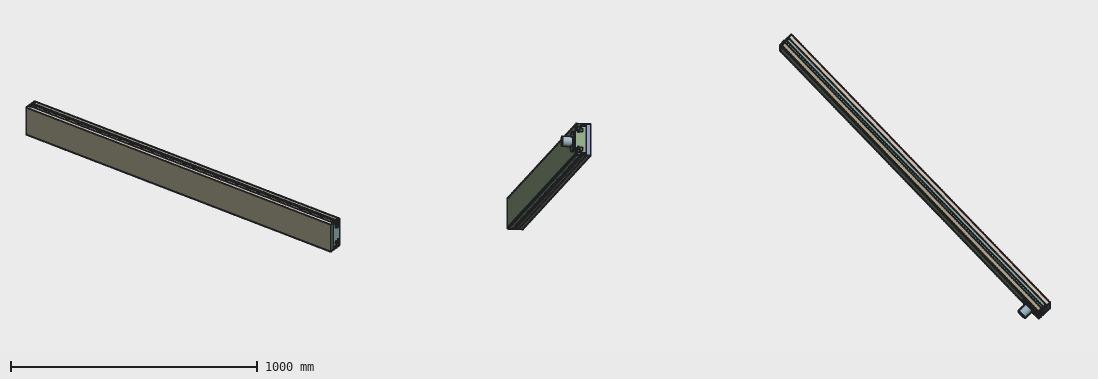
import cadquery as cq

total_length = 1528.0
total_depth = 110.0
height = 130.0
pin_length = 5.0
bar_length = total_length - pin_length
half_height = height / 2

front_depth = 18.0

back_y = 64.0
back_chamfer = 5.0
groove_front_y = 32.0
groove_back_y = 41.0
groove_depth = 5.0

cap_thickness = 6.0
relief_depth = 2.0
relief_margin = 5.0
relief_leg_width = 5.0
slot_width = 8.0
slot_run = 9.0
top_slot_y = groove_front_y
back_slot_z = half_height - 20.0

pin_diameter = 14.0
pin_y = 40.0
pin_z = half_height - 26.0

connector_x = 52.0
flange_diameter = 83.0
flange_thickness = 5.0
plug_diameter = 41.0


def extrude_outline(upper_points, start_x, length):
    """Extrude along X an outline given by its upper half, mirrored about Z = 0."""
    lower_points = [(y, -z) for y, z in reversed(upper_points)]
    outline = cq.Workplane("YZ", origin=(start_x, 0, 0)).polyline(upper_points + lower_points)
    return outline.close().extrude(length)


def make_front_bar():
    return cq.Workplane("XY").box(bar_length, front_depth, height, centered=(False, False, True))


def make_rear_profile():
    groove_floor = half_height - groove_depth
    upper_points = [
        (front_depth, half_height),
        (groove_front_y, half_height),
        (groove_front_y, groove_floor),
        (groove_back_y, groove_floor),
        (groove_back_y, half_height),
        (back_y - back_chamfer, half_height),
        (back_y, half_height - back_chamfer),
    ]
    return extrude_outline(upper_points, cap_thickness, bar_length - 2 * cap_thickness)


def edge_reliefs(start_x):
    """Four bent pockets: a straight leg along the edge, then a leg slanting at 45 degrees inward."""
    top_edge = half_height - relief_margin
    top_inner = top_edge - relief_leg_width
    top_relief = [
        (front_depth + relief_margin, top_edge),
        (top_slot_y + slot_width, top_edge),
        (top_slot_y + slot_width + slot_run, top_edge - slot_run),
        (top_slot_y + slot_run, top_edge - slot_run),
        (top_slot_y + relief_leg_width, top_inner),
        (front_depth + relief_margin, top_inner),
    ]
    back_edge = back_y - relief_margin
    back_inner = back_edge - relief_leg_width
    back_relief = [
        (back_edge, half_height - relief_margin),
        (back_edge, back_slot_z - slot_width),
        (back_edge - slot_run, back_slot_z - slot_width - slot_run),
        (back_edge - slot_run, back_slot_z - slot_run),
        (back_inner, back_slot_z - relief_leg_width),
        (back_inner, half_height - relief_margin),
    ]
    reliefs = cq.Workplane("YZ", origin=(start_x, 0, 0))
    for corner_points in (top_relief, back_relief):
        for side in (1, -1):
            reliefs = reliefs.polyline([(y, side * z) for y, z in corner_points]).close()
    return reliefs.extrude(relief_depth)


def make_cap_plate(start_x):
    upper_points = [
        (front_depth, half_height),
        (back_y - back_chamfer, half_height),
        (back_y, half_height - back_chamfer),
    ]
    return extrude_outline(upper_points, start_x, cap_thickness)


def pin_cylinders(start_x, length):
    centres = [(pin_y, pin_z), (pin_y, -pin_z)]
    pins = cq.Workplane("YZ", origin=(start_x, 0, 0)).pushPoints(centres)
    return pins.circle(pin_diameter / 2).extrude(length)


def make_left_cap():
    return make_cap_plate(0).cut(pin_cylinders(0, pin_length)).cut(edge_reliefs(0))


def make_right_cap():
    start_x = bar_length - cap_thickness
    plate = make_cap_plate(start_x).cut(edge_reliefs(bar_length - relief_depth))
    return plate.union(pin_cylinders(start_x, cap_thickness + pin_length))


def make_connector():
    base = cq.Workplane("XZ", origin=(connector_x, back_y, 0))
    flange = base.circle(flange_diameter / 2).extrude(-flange_thickness)
    plug = base.circle(plug_diameter / 2).extrude(back_y - total_depth)
    return flange.union(plug)


front_bar = make_front_bar()
rear_profile = make_rear_profile()
left_cap = make_left_cap()
right_cap = make_right_cap()
connector = make_connector()

result = cq.Compound.makeCompound(
    [front_bar.val(), rear_profile.val(), left_cap.val(), right_cap.val(), connector.val()]
)